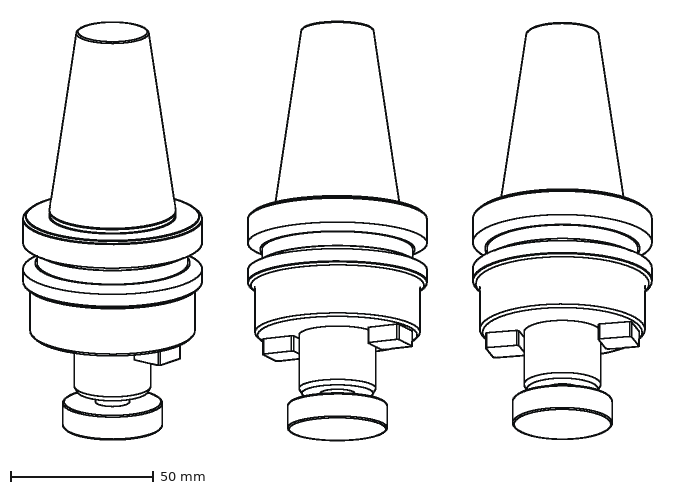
import cadquery as cq
import math


gauge_diameter = 44.45
taper_length = 65.4
taper_ratio = 7 / 24
taper_end_chamfer = 0.5
relief_diameter = 44.0
relief_step = 0.5

collar_diameter = 44.6
collar_height = 0.2

flange_diameter = 63.0
flange_top = -2.0
flange_bottom = -27.0
flange_chamfer_width = 1.1
flange_chamfer_height = 1.15
flange_edge_break_width = 0.1
flange_edge_break_height = 0.3

groove_diameter = 53.0
groove_center = -16.6
groove_mouth_width = 9.6
groove_floor_width = 5.2
groove_ledge_width = 0.7

body_diameter = 58.0
body_bottom = -45.0
body_chamfer = 1.0
body_root_radius = 1.0

spigot_diameter = 27.0
spigot_length = 21.0
spigot_chamfer_width = 1.0
spigot_chamfer_height = 1.75

screw_neck_diameter = 12.0
screw_head_diameter = 35.0
screw_head_height = 9.0
screw_end = -79.0
screw_head_chamfer = 0.5

key_width = 12.0
key_outer_reach = 26.4
key_height = 5.5
key_chamfer = 0.6


def make_turned_body():
    """Revolve the half section of the taper, flange, body, spigot and screw."""
    taper_end_radius = (gauge_diameter - taper_length * taper_ratio) / 2
    taper_chamfer_radius = taper_end_radius + taper_end_chamfer * taper_ratio / 2
    flange_radius = flange_diameter / 2
    chamfer_radius = flange_radius - flange_chamfer_width
    upper_rim = flange_top - flange_chamfer_height
    lower_rim = flange_bottom + flange_chamfer_height
    groove_radius = groove_diameter / 2
    groove_wall_foot = groove_radius + groove_ledge_width
    body_radius = body_diameter / 2
    spigot_radius = spigot_diameter / 2
    spigot_bottom = body_bottom - spigot_length
    head_radius = screw_head_diameter / 2
    head_top = screw_end + screw_head_height
    neck_radius = screw_neck_diameter / 2
    root_arc_drop = body_root_radius * (1 - math.sqrt(0.5))

    profile = (
        cq.Workplane("XZ")
        .moveTo(0, taper_length)
        .lineTo(taper_end_radius - taper_end_chamfer, taper_length)
        .lineTo(taper_chamfer_radius, taper_length - taper_end_chamfer)
        .lineTo(gauge_diameter / 2, 0)
        .lineTo(relief_diameter / 2, -relief_step)
        .lineTo(relief_diameter / 2, flange_top + collar_height)
        .lineTo(collar_diameter / 2, flange_top + collar_height)
        .lineTo(collar_diameter / 2, flange_top)
        .lineTo(chamfer_radius, flange_top)
        .lineTo(chamfer_radius + flange_edge_break_width, flange_top - flange_edge_break_height)
        .lineTo(flange_radius - flange_edge_break_width, upper_rim + flange_edge_break_height)
        .lineTo(flange_radius, upper_rim)
        .lineTo(flange_radius, groove_center + groove_mouth_width / 2)
        .lineTo(groove_wall_foot, groove_center + groove_floor_width / 2)
        .lineTo(groove_radius, groove_center + groove_floor_width / 2)
        .lineTo(groove_radius, groove_center - groove_floor_width / 2)
        .lineTo(groove_wall_foot, groove_center - groove_floor_width / 2)
        .lineTo(flange_radius, groove_center - groove_mouth_width / 2)
        .lineTo(flange_radius, lower_rim)
        .lineTo(flange_radius - flange_edge_break_width, lower_rim - flange_edge_break_height)
        .lineTo(chamfer_radius, flange_bottom)
        .lineTo(body_radius + body_root_radius, flange_bottom)
        .threePointArc(
            (body_radius + root_arc_drop, flange_bottom - root_arc_drop),
            (body_radius, flange_bottom - body_root_radius),
        )
        .lineTo(body_radius, body_bottom + body_chamfer)
        .lineTo(body_radius - body_chamfer, body_bottom)
        .lineTo(spigot_radius, body_bottom)
        .lineTo(spigot_radius, spigot_bottom + spigot_chamfer_height)
        .lineTo(spigot_radius - spigot_chamfer_width, spigot_bottom)
        .lineTo(neck_radius, spigot_bottom)
        .lineTo(neck_radius, head_top)
        .lineTo(head_radius - screw_head_chamfer, head_top)
        .lineTo(head_radius, head_top - screw_head_chamfer)
        .lineTo(head_radius, screw_end + screw_head_chamfer)
        .lineTo(head_radius - screw_head_chamfer, screw_end)
        .lineTo(0, screw_end)
        .close()
    )
    return profile.revolve(360, (0, 0, 0), (0, 1, 0))


def make_drive_key(side):
    """Square key under the body; side is +1 for the +X key and -1 for the -X key."""
    center_x = side * (key_outer_reach - key_width / 2)
    return (
        cq.Workplane("XY", origin=(center_x, 0, body_bottom))
        .rect(key_width, key_width)
        .extrude(-key_height)
        .edges("|Z")
        .chamfer(key_chamfer)
    )


result = make_turned_body()
for key_side in (1, -1):
    result = result.union(make_drive_key(key_side))